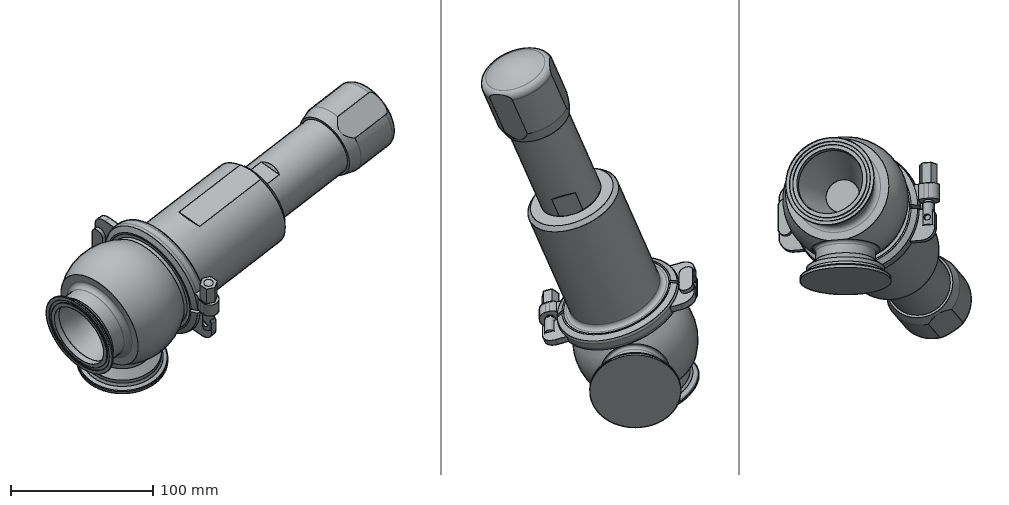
import cadquery as cq
import math


ball_r = 44.0
ball_y = 44.0
ball_face_y = 20.8
neck_r = 27.5
neck_fillet = 4.0
collar_r = 36.5

outlet_face_z = -60.0
outlet_pad_z = -36.8
outlet_pipe_r = 21.0
outlet_pipe_fillet = 2.0
outlet_pipe_end_z = -46.0
outlet_cone_end_z = -51.0

ferrule_r = 32.0
inlet_rim = 1.8
outlet_rim = 2.7
rim_chamfer = 0.5
ferrule_flare_start = 4.0
ferrule_height = 6.0
ferrule_flare_r = 28.7

bore_r = 24.0
bore_lip = 4.5
disc_r = 12.0
disc_depth = 36.2
gasket_inner_r = 27.0
gasket_outer_r = 29.3
gasket_depth = 1.0

joint_y = 78.0
clamp_r = 45.3
clamp_shoulder_r = 44.7
clamp_edge_r = 40.5
clamp_bore_r = 39.3
clamp_half_width = 6.3
clamp_shoulder_half = 4.2
clamp_gap = 2.7
lug_thickness = 4.5
lug_reach = 56.5
lug_height = 24.2
lug_corner_r = 9.7
lug_gap_corner_r = 4.5

link_width = 10.0
link_height = 26.5
link_thickness = 2.87

bolt_x = 51.3
bolt_r = 3.3
bolt_eye_r = 4.08
bolt_eye_top_z = 3.3
bolt_eye_bottom_z = -13.3
bolt_hole_r = 2.25
bolt_hole_z = -8.0
bolt_hole_depth = 2.5
boss_r = 6.3
boss_straight = 3.0
boss_bottom_z = 5.0
boss_top_z = 16.5
boss_web = 8.5
nut_height = 15.0
nut_corner_width = 12.7

bonnet_r = 33.8
bonnet_flare = 3.5
bonnet_top_y = 177.5
bonnet_chamfer = 3.0
bonnet_flat_z = 32.3
bonnet_flat_y = 112.3

tube_r = 22.3
tube_chamfer = 1.5
tube_top_y = 250.0
tube_flat_z = 20.5
tube_flat_y = 194.8

cap_r = 27.0
cap_bottom_r = 24.2
cap_cone_y = 259.0
cap_shoulder_y = 290.8
cap_dome_r = 22.0
cap_dome_y = 296.3
cap_top_y = 302.0
cap_flat_distance = 25.0
cap_flat_count = 3

far = 151.0


def turn_on_y(profile):
    """Turn a closed (radius, y) profile about the main axis."""
    return profile.close().revolve(360, (0, 0), (0, 1))


def slope_ended_flat(height, y_start, y_end, side):
    """Cutter for a flat at z = side * height that runs out at 45 degrees past y_end."""
    run_out = math.copysign(far, y_end - y_start)
    outline = [
        (y_start, side * height),
        (y_end, side * height),
        (y_end + run_out, side * (height + far)),
        (y_start, side * (height + far)),
    ]
    return cq.Workplane("YZ").polyline(outline).close().extrude(far, both=True)


def ferrule_profile(profile, face, rim):
    """Continue a profile from the neck down to the axis at the ferrule face."""
    return (
        profile.lineTo(neck_r, face + ferrule_height)
        .lineTo(ferrule_flare_r, face + ferrule_flare_start)
        .lineTo(ferrule_r - rim_chamfer, face + rim)
        .lineTo(ferrule_r, face + rim - rim_chamfer)
        .lineTo(ferrule_r, face)
        .lineTo(0, face)
    )


def ball_offset(radius):
    """Distance from the ball centre to its section of the given radius, and the reverse."""
    return math.sqrt(ball_r**2 - radius**2)


def fillet_inset(radius):
    """Inset, along each side, of the middle of a quarter-circle fillet."""
    return radius * (1 - math.sqrt(0.5))


def make_body():
    collar_y = ball_y + ball_offset(collar_r)
    ball_face_r = ball_offset(ball_y - ball_face_y)
    fillet_mid = fillet_inset(neck_fillet)
    profile = (
        cq.Workplane("XY")
        .moveTo(0, joint_y)
        .lineTo(clamp_bore_r, joint_y)
        .lineTo(clamp_bore_r, joint_y - clamp_half_width)
        .lineTo(collar_r, joint_y - clamp_half_width)
        .lineTo(collar_r, collar_y)
        .threePointArc((ball_r, ball_y), (ball_face_r, ball_face_y))
        .lineTo(neck_r + neck_fillet, ball_face_y)
        .threePointArc(
            (neck_r + fillet_mid, ball_face_y - fillet_mid),
            (neck_r, ball_face_y - neck_fillet),
        )
    )
    body = turn_on_y(ferrule_profile(profile, 0, inlet_rim))

    body = body.cut(make_pad_cutter()).union(make_outlet())
    return body.cut(make_inlet_mouth())


def make_pad_cutter():
    """Levels the underside of the ball where the outlet leaves it."""
    pad_r = ball_offset(-outlet_pad_z)
    return (
        cq.Workplane("XY", origin=(0, ball_y, outlet_pad_z))
        .circle(pad_r)
        .extrude(-ball_r - outlet_pad_z)
    )


def make_outlet():
    fillet_mid = fillet_inset(outlet_pipe_fillet)
    profile = (
        cq.Workplane("XZ", origin=(0, ball_y, 0))
        .lineTo(outlet_pipe_r, 0)
        .lineTo(outlet_pipe_r, outlet_pad_z)
        .lineTo(outlet_pipe_r + outlet_pipe_fillet, outlet_pad_z)
        .threePointArc(
            (outlet_pipe_r + fillet_mid, outlet_pad_z - fillet_mid),
            (outlet_pipe_r, outlet_pad_z - outlet_pipe_fillet),
        )
        .lineTo(outlet_pipe_r, outlet_pipe_end_z)
        .lineTo(neck_r, outlet_cone_end_z)
    )
    profile = ferrule_profile(profile, outlet_face_z, outlet_rim)
    return profile.close().revolve(360, (0, 0), (0, 1))


def make_inlet_mouth():
    """Bore lip, cone down to the valve disc, and the gasket groove round them."""
    mouth = turn_on_y(
        cq.Workplane("XY")
        .lineTo(bore_r, 0)
        .lineTo(bore_r, bore_lip)
        .lineTo(disc_r, disc_depth)
        .lineTo(0, disc_depth)
    )
    groove = turn_on_y(
        cq.Workplane("XY")
        .moveTo(gasket_inner_r, 0)
        .lineTo(gasket_outer_r, 0)
        .lineTo(gasket_outer_r, gasket_depth)
        .lineTo(gasket_inner_r, gasket_depth)
    )
    return mouth.union(groove)


def make_bonnet():
    flange_y = joint_y + clamp_half_width
    flare_mid = fillet_inset(bonnet_flare)
    bonnet = turn_on_y(
        cq.Workplane("XY")
        .moveTo(0, joint_y)
        .lineTo(clamp_bore_r, joint_y)
        .lineTo(clamp_bore_r, flange_y)
        .lineTo(bonnet_r + bonnet_flare, flange_y)
        .threePointArc(
            (bonnet_r + flare_mid, flange_y + flare_mid),
            (bonnet_r, flange_y + bonnet_flare),
        )
        .lineTo(bonnet_r, bonnet_top_y - bonnet_chamfer)
        .lineTo(bonnet_r - bonnet_chamfer, bonnet_top_y)
        .lineTo(0, bonnet_top_y)
    )
    return bonnet.cut(slope_ended_flat(bonnet_flat_z, bonnet_top_y, bonnet_flat_y, 1))


def make_tube():
    tube = turn_on_y(
        cq.Workplane("XY")
        .moveTo(0, bonnet_top_y)
        .lineTo(tube_r - tube_chamfer, bonnet_top_y)
        .lineTo(tube_r, bonnet_top_y + tube_chamfer)
        .lineTo(tube_r, tube_top_y)
        .lineTo(0, tube_top_y)
    )
    for side in (1, -1):
        tube = tube.cut(slope_ended_flat(tube_flat_z, bonnet_top_y, tube_flat_y, side))
    return tube


def make_cap():
    dome_rise = cap_top_y - cap_dome_y
    dome_radius = (cap_dome_r**2 + dome_rise**2) / (2 * dome_rise)
    half_angle = math.asin(cap_dome_r / dome_radius) / 2
    dome_middle = (
        dome_radius * math.sin(half_angle),
        cap_top_y - dome_radius * (1 - math.cos(half_angle)),
    )
    cap = turn_on_y(
        cq.Workplane("XY")
        .moveTo(0, tube_top_y)
        .lineTo(cap_bottom_r, tube_top_y)
        .lineTo(cap_r, cap_cone_y)
        .lineTo(cap_r, cap_shoulder_y)
        .tangentArcPoint((cap_dome_r, cap_dome_y), relative=False)
        .threePointArc(dome_middle, (0, cap_top_y))
    )
    flat = cq.Workplane("YZ", origin=(-cap_flat_distance, cap_top_y, 0)).rect(far, far).extrude(-far)
    for i in range(cap_flat_count):
        cap = cap.cut(flat.rotate((0, 0, 0), (0, 1, 0), i * 360 / cap_flat_count))
    return cap


def make_clamp_ring():
    outline = [
        (clamp_bore_r, clamp_half_width),
        (clamp_edge_r, clamp_half_width),
        (clamp_shoulder_r, clamp_shoulder_half),
        (clamp_r, lug_thickness / 2),
    ]
    mirrored = [(radius, -offset) for radius, offset in reversed(outline)]
    points = [(radius, joint_y + offset) for radius, offset in outline + mirrored]
    return turn_on_y(cq.Workplane("XY").polyline(points))


def make_half_ring(side):
    """Ring half above (side = 1) or below (side = -1) the split."""
    half_space = cq.Workplane("XY", origin=(0, joint_y, side * clamp_gap / 2)).rect(far, far)
    return make_clamp_ring().intersect(half_space.extrude(side * far))


def clear_bore(lug):
    """Remove the part of a lug that lies inside the clamp bore."""
    return lug.cut(cq.Workplane("XZ").circle(clamp_bore_r).extrude(far, both=True))


def make_lug(side_x, side_z):
    """Flat ear with a large outer corner and a small corner at the split."""
    lug = (
        cq.Workplane("XZ", origin=(0, joint_y, 0))
        .moveTo(0, side_z * clamp_gap / 2)
        .lineTo(side_x * lug_reach, side_z * clamp_gap / 2)
        .lineTo(side_x * lug_reach, side_z * lug_height)
        .lineTo(0, side_z * lug_height)
        .close()
        .extrude(lug_thickness / 2, both=True)
    )
    outer_face = "<X" if side_x < 0 else ">X"
    outer_corner, split_corner = (">Z", "<Z") if side_z > 0 else ("<Z", ">Z")
    lug = lug.faces(outer_face).edges("|Y").edges(outer_corner).fillet(lug_corner_r)
    lug = lug.faces(outer_face).edges("|Y").edges(split_corner).fillet(lug_gap_corner_r)
    return clear_bore(lug)


def make_bolt_boss():
    """Rounded boss on a web, bored for the clamp bolt."""
    height = boss_top_z - boss_bottom_z
    plane = cq.Workplane("XY", origin=(0, joint_y, boss_bottom_z))
    web = plane.center(bolt_x / 2, 0).rect(bolt_x, boss_web).extrude(height)
    boss = plane.center(bolt_x, 0).slot2D(boss_straight + 2 * boss_r, 2 * boss_r).extrude(height)
    return clear_bore(web.union(boss)).cut(upright(bolt_r, boss_bottom_z, boss_top_z))


def upright(radius, z_low, z_high):
    """Upright cylinder on the bolt axis."""
    return cq.Workplane("XY", origin=(bolt_x, joint_y, z_low)).circle(radius).extrude(z_high - z_low)


def make_upper_clamp():
    return make_half_ring(1).union(make_lug(-1, 1)).union(make_bolt_boss())


def make_lower_clamp():
    clamp = make_half_ring(-1).union(make_lug(-1, -1)).union(make_lug(1, -1))
    return clamp.cut(upright(bolt_eye_r, bolt_eye_bottom_z, bolt_eye_top_z))


def make_link(side):
    """Link plate lying on one face of the two left-hand lugs."""
    inner_y = joint_y + side * lug_thickness / 2
    return (
        cq.Workplane("XZ", origin=(link_width / 2 - lug_reach, inner_y, 0))
        .slot2D(link_height, link_width, 90)
        .extrude(-side * link_thickness)
    )


def make_bolt():
    shank = upright(bolt_r, bolt_eye_top_z, boss_top_z + nut_height)
    eye = upright(bolt_eye_r, bolt_eye_bottom_z, bolt_eye_top_z)
    hole = (
        cq.Workplane("XZ", origin=(bolt_x, joint_y - bolt_eye_r, bolt_hole_z))
        .circle(bolt_hole_r)
        .extrude(-bolt_hole_depth)
    )
    return shank.union(eye).cut(hole)


def make_nut():
    return (
        cq.Workplane("XY", origin=(bolt_x, joint_y, boss_top_z))
        .polygon(6, nut_corner_width)
        .circle(bolt_r)
        .extrude(nut_height)
    )


body = make_body()
bonnet = make_bonnet()
tube = make_tube()
cap = make_cap()
upper_clamp = make_upper_clamp()
lower_clamp = make_lower_clamp()
links = [make_link(side) for side in (-1, 1)]
bolt = make_bolt()
nut = make_nut()

result = cq.Compound.makeCompound([
    body.val(),
    bonnet.val(),
    tube.val(),
    cap.val(),
    upper_clamp.val(),
    lower_clamp.val(),
    *[link.val() for link in links],
    bolt.val(),
    nut.val(),
])